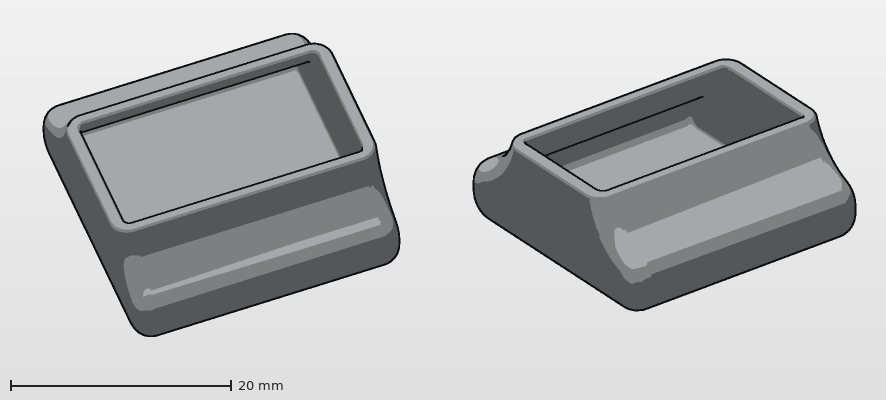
import cadquery as cq
import math

width = 25.83
length = 25.83
height = 10.55

foot_radius = 2.75
foot_straight = 0.72
flank_radius = 7.0
flank_center_x = 13.7

wall = 1.3
end_round = 1.8
rim_round = 0.62

foot_x = width / 2 - foot_radius
lower_foot_z = foot_radius
upper_foot_z = lower_foot_z + foot_straight
center_dx = flank_center_x - foot_x
center_dz = math.sqrt((foot_radius + flank_radius) ** 2 - center_dx ** 2)
flank_center_z = upper_foot_z + center_dz

blend_angle = math.atan2(-center_dz, -center_dx)


def polar(center_x, center_z, radius, angle):
    """Point on a circle in the XZ plane."""
    return center_x + radius * math.cos(angle), center_z + radius * math.sin(angle)


def mirrored(point):
    """The matching point on the -X side."""
    return -point[0], point[1]


def rounded_block(inset):
    """Profile moved inward by inset, open height kept, with rounded ends."""
    foot = foot_radius - inset
    flank = flank_radius + inset
    top_angle = -math.pi - math.asin((height - flank_center_z) / flank)
    foot_blend_angle = blend_angle + math.pi

    lower_start = (foot_x, lower_foot_z - foot)
    lower_mid = polar(foot_x, lower_foot_z, foot, -math.pi / 4)
    lower_end = (foot_x + foot, lower_foot_z)
    upper_start = (foot_x + foot, upper_foot_z)
    upper_mid = polar(foot_x, upper_foot_z, foot, foot_blend_angle / 2)
    blend = polar(foot_x, upper_foot_z, foot, foot_blend_angle)
    flank_mid = polar(flank_center_x, flank_center_z, flank, (blend_angle + top_angle) / 2)
    top = polar(flank_center_x, flank_center_z, flank, top_angle)

    block = (
        cq.Workplane("XZ")
        .moveTo(*mirrored(lower_start))
        .lineTo(*lower_start)
        .threePointArc(lower_mid, lower_end)
        .lineTo(*upper_start)
        .threePointArc(upper_mid, blend)
        .threePointArc(flank_mid, top)
        .lineTo(*mirrored(top))
        .threePointArc(mirrored(flank_mid), mirrored(blend))
        .threePointArc(mirrored(upper_mid), mirrored(upper_start))
        .lineTo(*mirrored(lower_end))
        .threePointArc(mirrored(lower_mid), mirrored(lower_start))
        .close()
        .extrude(length / 2 - inset, both=True)
    )
    end_edges = block.faces("<Y or >Y").edges("not(>Z)")
    return end_edges.fillet(end_round - inset)


tray = rounded_block(0).cut(rounded_block(wall))
result = tray.faces(">Z").edges().fillet(rim_round)